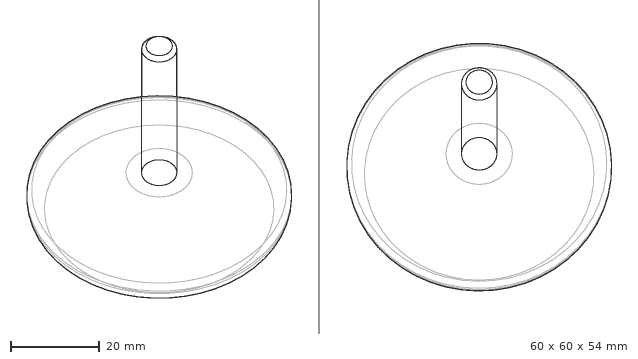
import cadquery as cq
import math

plate_radius = 30.0
bottom_round = 4.0
rim_round = 1.5
cone_top_radius = 7.5
cone_top_height = 12.0
cone_slope = math.radians(15)

stud_diameter = 8.0
stud_chamfer = 1.0
total_height = 54.0

cone_edge_height = cone_top_height - (plate_radius - cone_top_radius) * math.tan(cone_slope)
tangent_length = rim_round * math.tan((math.pi / 2 - cone_slope) / 2)
rim_top = cone_edge_height - tangent_length
rim_center_radius = plate_radius - rim_round


def rim_point(angle):
    """Point on the rim round, with the angle measured up from horizontal."""
    return (
        rim_center_radius + rim_round * math.cos(angle),
        rim_top + rim_round * math.sin(angle),
    )


def quarter_round_middle():
    """Middle of the quarter arc around the bottom edge."""
    inset = bottom_round * (1 - math.sqrt(0.5))
    return (plate_radius - inset, inset)


def make_plate():
    """Revolve the half profile of the plate about the Z axis."""
    rim_sweep = math.pi / 2 - cone_slope
    return (
        cq.Workplane("XZ")
        .lineTo(plate_radius - bottom_round, 0)
        .threePointArc(quarter_round_middle(), (plate_radius, bottom_round))
        .lineTo(plate_radius, rim_top)
        .threePointArc(rim_point(rim_sweep / 2), rim_point(rim_sweep))
        .lineTo(cone_top_radius, cone_top_height)
        .lineTo(0, cone_top_height)
        .close()
        .revolve(360, (0, 0), (0, 1))
    )


def make_stud():
    """Plain stud rooted at the plate's base, with a chamfered tip."""
    return (
        cq.Workplane("XY")
        .circle(stud_diameter / 2)
        .extrude(total_height)
        .faces(">Z")
        .chamfer(stud_chamfer)
    )


result = make_plate().union(make_stud())